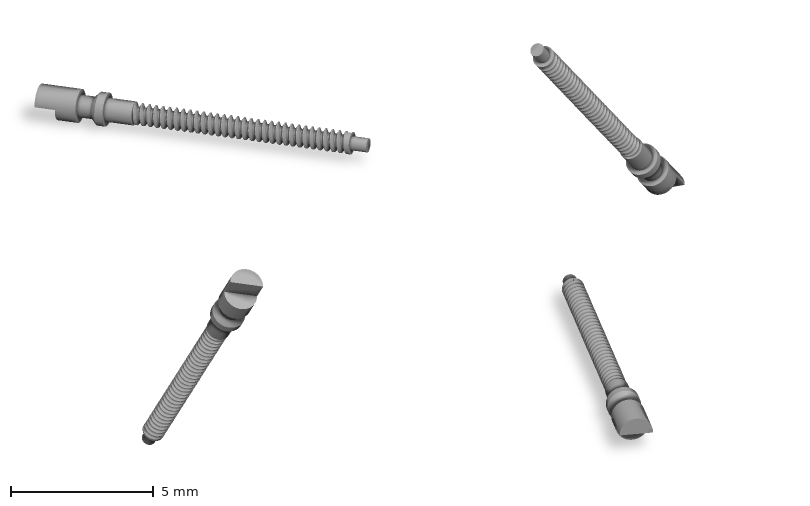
import cadquery as cq
import math

HEAD_END = 1.5
NECK_END = 2.0
CONE_END = 2.2
FLANGE_END = 2.5
SLEEVE_END = 3.5
THREAD_END = 11.5
TOTAL_LENGTH = 12.1

HEAD_DIAMETER = 1.2
NECK_DIAMETER = 0.8
SLEEVE_DIAMETER = 0.85
THREAD_DIAMETER = 0.8
TIP_DIAMETER = 0.5

HEAD_STEP_LENGTH = 0.75

PITCH = 0.25
TRIANGLE_HEIGHT = PITCH * math.sqrt(3) / 2
GROOVE_DEPTH = 5 / 8 * TRIANGLE_HEIGHT
GROOVE_ROOT_WIDTH = PITCH / 4
GROOVE_MOUTH_WIDTH = PITCH * 7 / 8
GROOVE_OVERCUT = 0.02
GROOVE_TURNS = 32
GROOVE_LAST_CENTER = THREAD_END - GROOVE_MOUTH_WIDTH / 2


def cylinder(start, end, diameter):
    """Round bar on the X axis between two stations."""
    return cq.Workplane("YZ", origin=(start, 0, 0)).circle(diameter / 2).extrude(end - start)


def cone(start, end, start_diameter, end_diameter):
    """Tapered bar on the X axis between two stations."""
    profile = [
        (start, 0),
        (start, start_diameter / 2),
        (end, end_diameter / 2),
        (end, 0),
    ]
    return cq.Workplane("XZ").polyline(profile).close().revolve(360, (0, 0, 0), (1, 0, 0))


def head():
    """Round head with its lower half removed at the free end."""
    step = cq.Workplane("XY").box(
        HEAD_STEP_LENGTH, HEAD_DIAMETER, HEAD_DIAMETER / 2, centered=(False, True, False)
    )
    return cylinder(0, HEAD_END, HEAD_DIAMETER).cut(step.translate((0, 0, -HEAD_DIAMETER / 2)))


def thread_groove():
    """Right-hand helical groove on the X axis, starting and ending at the +Z side."""
    length = GROOVE_TURNS * PITCH
    major_radius = THREAD_DIAMETER / 2
    root_radius = major_radius - GROOVE_DEPTH
    outer_radius = major_radius + GROOVE_OVERCUT
    flank_slope = (GROOVE_MOUTH_WIDTH - GROOVE_ROOT_WIDTH) / 2 / GROOVE_DEPTH
    root_half = GROOVE_ROOT_WIDTH / 2
    outer_half = GROOVE_MOUTH_WIDTH / 2 + flank_slope * GROOVE_OVERCUT
    profile = [
        (root_radius, -root_half),
        (outer_radius, -outer_half),
        (outer_radius, outer_half),
        (root_radius, root_half),
    ]
    helix = cq.Wire.makeHelix(PITCH, length, major_radius)
    groove = cq.Workplane("XZ").polyline(profile).close().sweep(cq.Workplane(helix), isFrenet=True)
    groove = groove.rotate((0, 0, 0), (0, 1, 0), 90).rotate((0, 0, 0), (1, 0, 0), 180)
    return groove.translate((GROOVE_LAST_CENTER - length, 0, 0))


def threaded_rod():
    """Threaded shank, starting inside the sleeve so that the groove runs out there."""
    rod = cylinder(FLANGE_END, THREAD_END, THREAD_DIAMETER)
    return rod.cut(thread_groove())


result = (
    head()
    .union(cylinder(HEAD_END, NECK_END, NECK_DIAMETER))
    .union(cone(NECK_END, CONE_END, NECK_DIAMETER, HEAD_DIAMETER))
    .union(cylinder(CONE_END, FLANGE_END, HEAD_DIAMETER))
    .union(threaded_rod())
    .union(cylinder(FLANGE_END, SLEEVE_END, SLEEVE_DIAMETER))
    .union(cylinder(THREAD_END, TOTAL_LENGTH, TIP_DIAMETER))
)